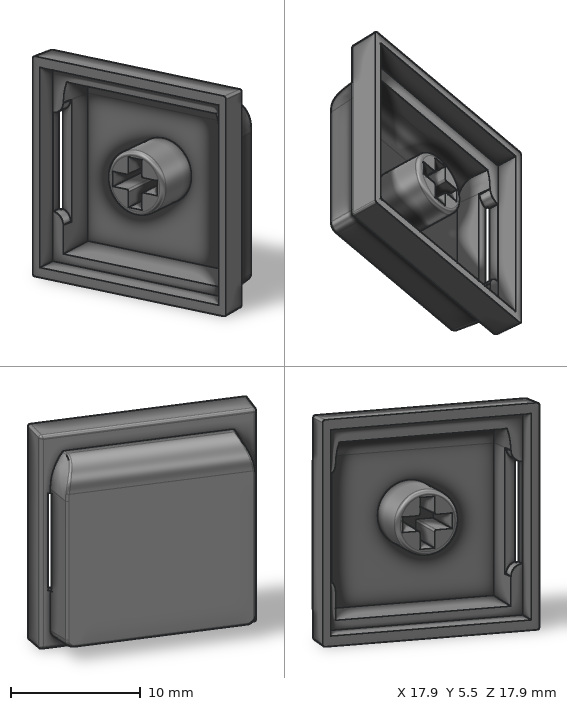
import cadquery as cq
import math

skirt_size = 17.9
skirt_depth = 2.55
skirt_draft = 2.0
skirt_corner = 0.21
skirt_back_fillet = 0.29
plate_front = 1.7
opening_width = 16.54
opening_height = 16.25
opening_draft = 2.0

total_depth = 5.5
body_half_width = 8.0
body_bottom = -8.05
body_top = 7.41
body_draft = 5.2
top_roll_radius = 2.42
side_curve_start = 4.4
top_half_width = 6.96
body_edge_fillet = 0.21
body_corner_fillet = 0.72

roof_thickness = 0.77
cavity_half_width = 7.23
cavity_bottom = -7.3
cavity_top = 6.71
cavity_curve_start = 5.01
cavity_draft = 5.0

slot_half_height = 4.03
slot_back = 2.74
slot_corner = 0.93
slot_outer = 8.18

stem_radius = 2.61
stem_front = 0.8
stem_fillet = 0.35
cross_half_length = 2.04
cross_half_width = 0.6
cross_corner_fillet = 0.16
cross_draft = 1.0

body_depth = total_depth - skirt_depth
cavity_floor = total_depth - roof_thickness
overlap = 0.18
top_margin = 0.54
side_curve_drop = body_half_width - top_half_width
side_curve_rise = body_top - side_curve_start
side_curve_radius = (side_curve_rise**2 + side_curve_drop**2) / (2 * side_curve_drop)


def facing_back(y):
    """Work plane at depth y: local Y is +Z and extrusion runs toward +Y."""
    return cq.Workplane(cq.Plane(origin=(0, y, 0), xDir=(-1, 0, 0), normal=(0, 1, 0)))


def curve_inset(rise):
    """Inward shift of the side curve at a given rise above its start."""
    return side_curve_radius - math.sqrt(side_curve_radius**2 - rise**2)


def tapered_prism(front, depth, half_width, bottom, top, curve_start, draft):
    """Drafted block whose sides curve inward toward the top."""
    middle = (curve_start + top) / 2
    x_middle = half_width - curve_inset(middle - curve_start)
    x_top = half_width - curve_inset(top - curve_start)
    return (
        facing_back(front)
        .moveTo(-half_width, bottom)
        .lineTo(half_width, bottom)
        .lineTo(half_width, curve_start)
        .threePointArc((x_middle, middle), (x_top, top))
        .lineTo(-x_top, top)
        .threePointArc((-x_middle, middle), (-half_width, curve_start))
        .close()
        .extrude(depth, taper=draft)
    )


def rolled_profile(front, back, bottom, top, roll_radius):
    """Full-width block with its upper back edge rounded over."""
    return (
        cq.Workplane("YZ")
        .moveTo(front, bottom)
        .lineTo(back, bottom)
        .lineTo(back, top - roll_radius)
        .radiusArc((back - roll_radius, top), -roll_radius)
        .lineTo(front, top)
        .close()
        .extrude(skirt_size / 2, both=True)
    )


def make_skirt():
    block = (
        facing_back(0)
        .rect(skirt_size, skirt_size)
        .extrude(skirt_depth, taper=skirt_draft)
    )
    corners = block.edges().edges("not(|X or |Z)")
    return corners.fillet(skirt_corner).faces(">Y").edges().fillet(skirt_back_fillet)


def make_body():
    prism = tapered_prism(
        skirt_depth - overlap,
        body_depth + overlap,
        body_half_width + overlap * math.tan(math.radians(body_draft)),
        body_bottom,
        body_top + top_margin,
        side_curve_start,
        body_draft,
    )
    profile = rolled_profile(skirt_depth - overlap, total_depth, body_bottom, body_top, top_roll_radius)
    body = prism.intersect(profile)
    lower_corners = body.faces("<Z").edges("not(|X)")
    return lower_corners.fillet(body_corner_fillet).faces(">Y").edges().fillet(body_edge_fillet)


def make_front_opening():
    return (
        facing_back(0)
        .rect(opening_width, opening_height)
        .extrude(plate_front, taper=opening_draft)
    )


def make_cavity():
    prism = tapered_prism(
        plate_front,
        cavity_floor - plate_front,
        cavity_half_width,
        cavity_bottom,
        cavity_top + top_margin,
        cavity_curve_start,
        cavity_draft,
    )
    roll_radius = top_roll_radius - (body_top - cavity_top)
    return prism.intersect(rolled_profile(plate_front, cavity_floor, cavity_bottom, cavity_top, roll_radius))


def make_side_slots():
    """Both slots as one cutter; it flares inward around the rounded plate corners."""
    wide_half_height = slot_half_height + slot_corner
    inner = slot_outer - slot_corner
    return (
        facing_back(plate_front)
        .moveTo(-inner, -wide_half_height)
        .lineTo(inner, -wide_half_height)
        .radiusArc((slot_outer, -slot_half_height), slot_corner)
        .lineTo(slot_outer, slot_half_height)
        .radiusArc((inner, wide_half_height), slot_corner)
        .lineTo(-inner, wide_half_height)
        .radiusArc((-slot_outer, slot_half_height), slot_corner)
        .lineTo(-slot_outer, -slot_half_height)
        .radiusArc((-inner, -wide_half_height), slot_corner)
        .close()
        .extrude(slot_back - plate_front)
    )


def make_stem():
    return (
        facing_back(stem_front)
        .circle(stem_radius)
        .extrude(cavity_floor + overlap - stem_front)
        .faces("<Y")
        .edges()
        .fillet(stem_fillet)
    )


def make_cross_socket():
    arm_length = 2 * cross_half_length
    arm_width = 2 * cross_half_width
    depth = cavity_floor - stem_front
    upright = facing_back(stem_front).rect(arm_width, arm_length).extrude(depth, taper=cross_draft)
    level = facing_back(stem_front).rect(arm_length, arm_width).extrude(depth, taper=cross_draft)
    reach = cross_half_width + overlap
    inner_edges = cq.selectors.BoxSelector(
        (-reach, stem_front, -reach), (reach, cavity_floor, reach)
    )
    cross = upright.union(level)
    return cross.edges("not(#Y)").edges(inner_edges).fillet(cross_corner_fillet)


result = (
    make_skirt()
    .union(make_body())
    .cut(make_front_opening())
    .cut(make_cavity())
    .cut(make_side_slots())
    .union(make_stem())
    .cut(make_cross_socket())
)